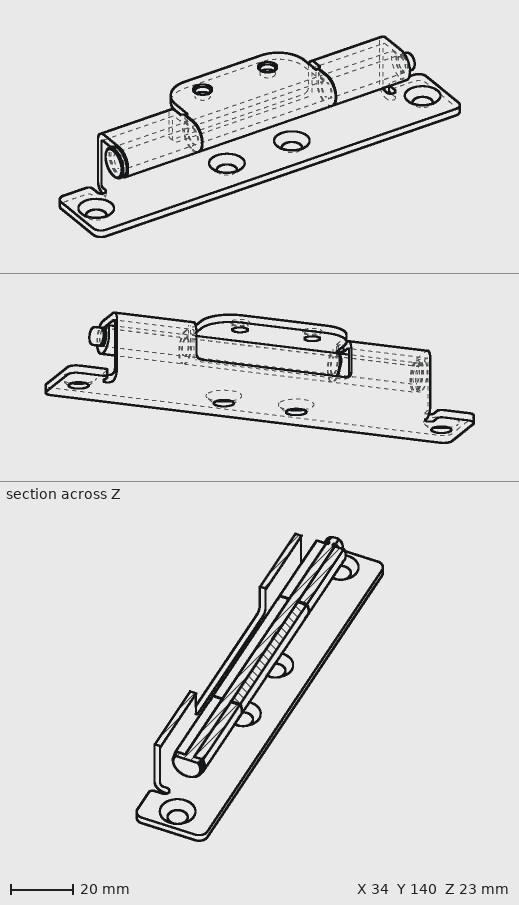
import cadquery as cq
import math


SHEET = 2.5
WALL = 2.1
HEIGHT = 23.0
PIN_RADIUS = 3.0
KNUCKLE_RADIUS = PIN_RADIUS + SHEET
AXIS_X = 12.5
AXIS_Z = HEIGHT - KNUCKLE_RADIUS
FLANGE_Z = HEIGHT - SHEET
CURL_GAP = 0.4

BASE_LENGTH = 140.0
BASE_WIDTH = 24.8
BASE_CORNER_RADIUS = 3.0
BEND_INNER_RADIUS = 1.1
BEND_OUTER_RADIUS = BEND_INNER_RADIUS + SHEET
WALL_HALF_LENGTH = 54.0
RELIEF_WIDTH = 3.0
RELIEF_DEPTH = 5.9
RELIEF_MOUTH_RADIUS = 1.4
SCREW_X = 12.2
SCREW_DIAMETER = 6.5
SCREW_SINK_DIAMETER = SCREW_DIAMETER + 2 * SHEET
END_SCREW_Y = 62.6
INNER_SCREW_Y = 12.5

WINDOW_HALF_LENGTH = 26.7
WINDOW_FLOOR_Z = 9.5
WINDOW_CORNER_RADIUS = 2.0
WINDOW_DEPTH_X = 6.7
BRACKET_JOINT_Y = 25.8

LEAF_REACH = 9.2
LEAF_HALF_LENGTH = 24.6
LEAF_CORNER_RADIUS = 10.0
LEAF_JOINT_Y = 25.5
LEAF_STEP_X = 7.5
LEAF_HOLE_X = -2.1
LEAF_HOLE_Y = INNER_SCREW_Y
LEAF_HOLE_DIAMETER = 5.0
LEAF_HOLE_CHAMFER = 0.5

HEAD_RADIUS = 5.2
HEAD_LENGTH = 2.1
HEAD_CHAMFER = 0.4
TIP_LENGTH = 3.9
TIP_ROUND = 1.0
GROOVE_RADIUS = 2.7
GROOVE_WIDTH = 0.8

ARC_INSET = 1 - 1 / math.sqrt(2)


def box(x_min, x_max, y_min, y_max, z_min, z_max):
    """Box given by its limits along each axis."""
    return cq.Workplane("XY").box(
        x_max - x_min, y_max - y_min, z_max - z_min, centered=False
    ).translate((x_min, y_min, z_min))


def cylinder_on_axis(radius, half_length):
    """Cylinder on the hinge axis, centred on Y = 0."""
    return (
        cq.Workplane("XZ")
        .center(AXIS_X, AXIS_Z)
        .circle(radius)
        .extrude(half_length, both=True)
    )


def rolled_knuckle(plate, half_length):
    """Curl a plate round the pin, leaving a gap between the curl end and the plate."""
    curl_gap = box(
        AXIS_X - KNUCKLE_RADIUS, AXIS_X,
        -half_length, half_length,
        FLANGE_Z - CURL_GAP, FLANGE_Z,
    )
    bore = cylinder_on_axis(PIN_RADIUS, half_length)
    curl = cylinder_on_axis(KNUCKLE_RADIUS, half_length).cut(curl_gap)
    return plate.union(curl).cut(bore)


def bent_sheet():
    """Base, wall and flange bent from one sheet, over the length of the wall."""
    outer_mid = BEND_OUTER_RADIUS * ARC_INSET
    inner_mid_x = WALL + BEND_INNER_RADIUS * ARC_INSET
    inner_mid_z = SHEET + BEND_INNER_RADIUS * ARC_INSET
    inner_end_x = WALL + BEND_INNER_RADIUS
    return (
        cq.Workplane("XZ")
        .moveTo(BASE_WIDTH, 0)
        .lineTo(BEND_OUTER_RADIUS, 0)
        .threePointArc((outer_mid, outer_mid), (0, BEND_OUTER_RADIUS))
        .lineTo(0, HEIGHT - BEND_OUTER_RADIUS)
        .threePointArc((outer_mid, HEIGHT - outer_mid), (BEND_OUTER_RADIUS, HEIGHT))
        .lineTo(AXIS_X, HEIGHT)
        .lineTo(AXIS_X, FLANGE_Z)
        .lineTo(inner_end_x, FLANGE_Z)
        .threePointArc((inner_mid_x, HEIGHT - inner_mid_z), (WALL, HEIGHT - BEND_OUTER_RADIUS))
        .lineTo(WALL, BEND_OUTER_RADIUS)
        .threePointArc((inner_mid_x, inner_mid_z), (inner_end_x, SHEET))
        .lineTo(BASE_WIDTH, SHEET)
        .close()
        .extrude(WALL_HALF_LENGTH, both=True)
    )


def end_tab():
    """Flat end of the base beyond the wall at +Y, with the bend relief slot."""
    tab_start = WALL_HALF_LENGTH + RELIEF_WIDTH
    tab_end = BASE_LENGTH / 2
    tab = box(0, BASE_WIDTH, tab_start, tab_end, 0, SHEET)
    tab = tab.edges("|Z and >Y").fillet(BASE_CORNER_RADIUS)
    tab = tab.edges("|Z and <X and <Y").fillet(RELIEF_MOUTH_RADIUS)
    slot_radius = RELIEF_WIDTH / 2
    neck = box(RELIEF_DEPTH - slot_radius, BASE_WIDTH, WALL_HALF_LENGTH, tab_start, 0, SHEET)
    slot_end = (
        cq.Workplane("XY")
        .center(RELIEF_DEPTH - slot_radius, WALL_HALF_LENGTH + slot_radius)
        .circle(slot_radius)
        .extrude(SHEET)
    )
    return tab.union(neck.cut(slot_end))


def leaf_opening():
    """Cutter that clears the wall, the flange and the knuckle around the leaf."""
    window = box(
        -SHEET, WINDOW_DEPTH_X,
        -WINDOW_HALF_LENGTH, WINDOW_HALF_LENGTH,
        WINDOW_FLOOR_Z, HEIGHT,
    ).edges("|X and <Z").fillet(WINDOW_CORNER_RADIUS)
    step = WINDOW_HALF_LENGTH - BRACKET_JOINT_Y
    arc_x = WINDOW_DEPTH_X + step * ARC_INSET
    arc_y = BRACKET_JOINT_Y + step * ARC_INSET
    clear_x = AXIS_X + 2 * KNUCKLE_RADIUS
    joint = (
        cq.Workplane("XY", origin=(0, 0, WINDOW_FLOOR_Z))
        .moveTo(WINDOW_DEPTH_X, -WINDOW_HALF_LENGTH)
        .threePointArc((arc_x, -arc_y), (WINDOW_DEPTH_X + step, -BRACKET_JOINT_Y))
        .lineTo(clear_x, -BRACKET_JOINT_Y)
        .lineTo(clear_x, BRACKET_JOINT_Y)
        .lineTo(WINDOW_DEPTH_X + step, BRACKET_JOINT_Y)
        .threePointArc((arc_x, arc_y), (WINDOW_DEPTH_X, WINDOW_HALF_LENGTH))
        .close()
        .extrude(HEIGHT - WINDOW_FLOOR_Z)
    )
    return window.union(joint)


def make_bracket():
    """Base, wall and the two outer knuckles."""
    bracket = rolled_knuckle(bent_sheet(), WALL_HALF_LENGTH).cut(leaf_opening())
    tab = end_tab()
    bracket = bracket.union(tab).union(tab.mirror("XZ"))
    screw_places = [(SCREW_X, side * y) for side in (-1, 1) for y in (INNER_SCREW_Y, END_SCREW_Y)]
    for x, y in screw_places:
        sink = cq.Solid.makeCone(
            SCREW_DIAMETER / 2, SCREW_SINK_DIAMETER / 2, SHEET, pnt=cq.Vector(x, y, 0)
        )
        bracket = bracket.cut(cq.Workplane(sink))
    return bracket


def make_leaf():
    """Plate with two chamfered holes and the middle knuckle."""
    plate = box(-LEAF_REACH, AXIS_X, -LEAF_HALF_LENGTH, LEAF_HALF_LENGTH, FLANGE_Z, HEIGHT)
    plate = plate.edges("|Z and <X").fillet(LEAF_CORNER_RADIUS)
    shoulder = box(LEAF_STEP_X, AXIS_X, -LEAF_JOINT_Y, LEAF_JOINT_Y, FLANGE_Z, HEIGHT)
    shoulder = shoulder.edges("|Z and <X").fillet(LEAF_JOINT_Y - LEAF_HALF_LENGTH)
    leaf = rolled_knuckle(plate.union(shoulder), LEAF_JOINT_Y)
    return (
        leaf.faces(">Z")
        .workplane(origin=(0, 0, HEIGHT))
        .pushPoints([(LEAF_HOLE_X, -LEAF_HOLE_Y), (LEAF_HOLE_X, LEAF_HOLE_Y)])
        .cskHole(LEAF_HOLE_DIAMETER, LEAF_HOLE_DIAMETER + 2 * LEAF_HOLE_CHAMFER, 90, depth=SHEET)
    )


def make_pin():
    """Turned pin: head at -Y, retaining groove and rounded tip at +Y."""
    head_end = -WALL_HALF_LENGTH - HEAD_LENGTH
    tip_end = WALL_HALF_LENGTH + TIP_LENGTH
    groove_end = WALL_HALF_LENGTH + GROOVE_WIDTH
    round_offset = TIP_ROUND * ARC_INSET
    return (
        cq.Workplane("XY")
        .moveTo(0, head_end)
        .lineTo(HEAD_RADIUS - HEAD_CHAMFER, head_end)
        .lineTo(HEAD_RADIUS, head_end + HEAD_CHAMFER)
        .lineTo(HEAD_RADIUS, -WALL_HALF_LENGTH - HEAD_CHAMFER)
        .lineTo(HEAD_RADIUS - HEAD_CHAMFER, -WALL_HALF_LENGTH)
        .lineTo(PIN_RADIUS, -WALL_HALF_LENGTH)
        .lineTo(PIN_RADIUS, WALL_HALF_LENGTH)
        .lineTo(GROOVE_RADIUS, WALL_HALF_LENGTH)
        .lineTo(GROOVE_RADIUS, groove_end)
        .lineTo(PIN_RADIUS, groove_end)
        .lineTo(PIN_RADIUS, tip_end - TIP_ROUND)
        .threePointArc(
            (PIN_RADIUS - round_offset, tip_end - round_offset),
            (PIN_RADIUS - TIP_ROUND, tip_end),
        )
        .lineTo(0, tip_end)
        .close()
        .revolve(360, (0, 0, 0), (0, 1, 0))
        .translate((AXIS_X, 0, AXIS_Z))
    )


bracket = make_bracket()
leaf = make_leaf()
pin = make_pin()

result = cq.Compound.makeCompound([bracket.solids().val(), leaf.solids().val(), pin.val()])